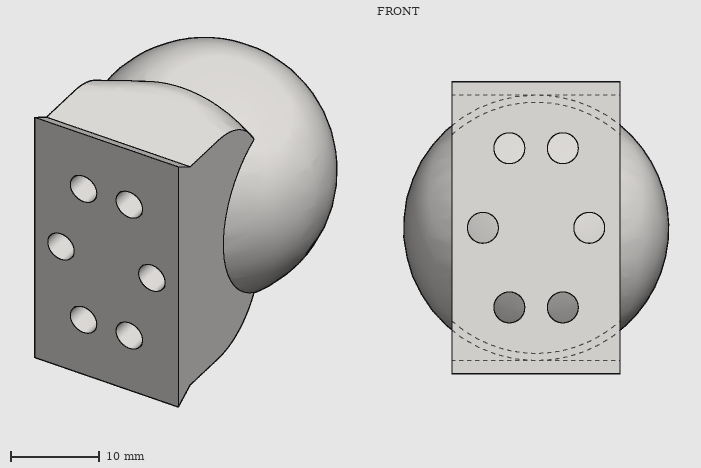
import cadquery as cq
import math

total_depth = 36.4
ball_diameter = 30.0
block_width = 19.0
flange_height = 33.0
flange_depth = 2.6
shoulder_radius = 9.0
seam_y = 16.52
shoulder_overlap = 0.55
hole_diameter = 3.5
side_hole_x = 6.0
corner_hole_x = 3.02
corner_hole_z = 9.0

ball_radius = ball_diameter / 2
ball_y = total_depth - ball_radius
block_top = ball_radius
block_end = seam_y + shoulder_overlap
seam_radius = math.sqrt(ball_radius**2 - (ball_y - seam_y)**2)

station_count = 9
side_margin = 0.2
station_reach = block_width / 2 + side_margin
clearance = 0.35


def make_block():
    """Block that flares outwards to the mounting face."""
    half_flange = flange_height / 2
    return (
        cq.Workplane("YZ", origin=(-block_width / 2, 0, 0))
        .polyline([
            (0, -half_flange),
            (flange_depth, -block_top),
            (block_end, -block_top),
            (block_end, block_top),
            (flange_depth, block_top),
            (0, half_flange),
        ])
        .close()
        .extrude(block_width)
    )


def shoulder_section(x):
    """Waste above one shoulder arc, tangent to the block top and meeting the ball at seam_y."""
    drop = block_top - math.sqrt(seam_radius**2 - x**2)
    run = math.sqrt(shoulder_radius**2 - (shoulder_radius - drop)**2)
    start_y = seam_y - run
    center_z = block_top - shoulder_radius
    sweep = math.asin((block_end - start_y) / shoulder_radius)

    def on_arc(angle):
        return cq.Vector(
            x,
            start_y + shoulder_radius * math.sin(angle),
            center_z + shoulder_radius * math.cos(angle),
        )

    start = on_arc(0)
    end = on_arc(sweep)
    roof_end = cq.Vector(x, block_end, block_top + clearance)
    roof_start = cq.Vector(x, start_y, block_top + clearance)
    return cq.Wire.assembleEdges([
        cq.Edge.makeThreePointArc(start, on_arc(sweep / 2), end),
        cq.Edge.makeLine(end, roof_end),
        cq.Edge.makeLine(roof_end, roof_start),
        cq.Edge.makeLine(roof_start, start),
    ])


def make_shoulder_cutter():
    spacing = 2 * station_reach / (station_count - 1)
    sections = [shoulder_section(-station_reach + i * spacing) for i in range(station_count)]
    return cq.Workplane(obj=cq.Solid.makeLoft(sections))


def make_holes():
    """Six holes from the mounting face, long enough to reach the ball."""
    centers = [(-side_hole_x, 0), (side_hole_x, 0)]
    for x in (-corner_hole_x, corner_hole_x):
        for z in (-corner_hole_z, corner_hole_z):
            centers.append((x, z))
    return cq.Workplane("XZ").pushPoints(centers).circle(hole_diameter / 2).extrude(-seam_y)


upper_cutter = make_shoulder_cutter()
lower_cutter = upper_cutter.mirror("XY")
block = make_block().cut(upper_cutter).cut(lower_cutter).cut(make_holes())

ball = cq.Workplane("XY").sphere(ball_radius).translate((0, ball_y, 0))
result = block.union(ball)